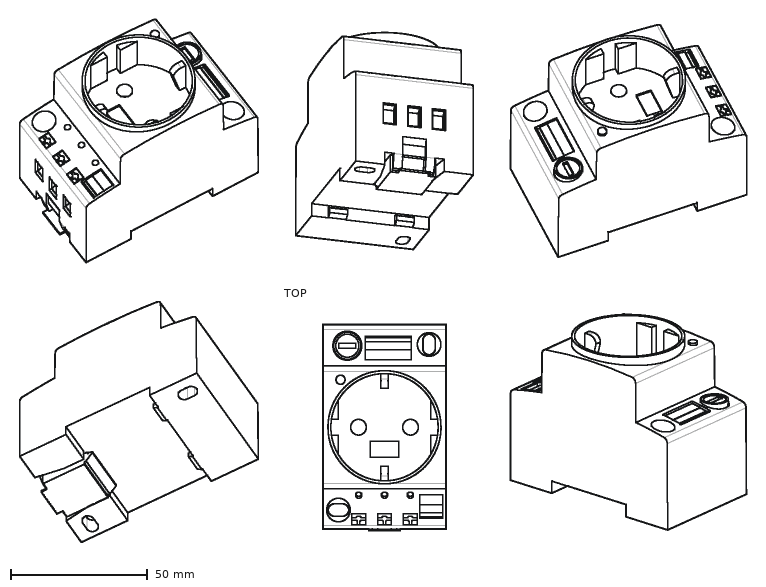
import cadquery as cq
import math

WIDTH = 45.0
HALF_WIDTH = WIDTH / 2
FRONT_Y = -37.3
REAR_Y = 37.6
DRAFT = 0.2
BODY_BOTTOM_Z = 1.9
TOWER_HALF = 22.5
TOP_CROWN_RADIUS = 181.15
SHOULDER_CROWN_RADIUS = 166.05
TOP_CROWN_Z = 59.0
SHOULDER_CROWN_Z = 42.0
EDGE_FILLET = 2.0

RAIL_HALF = 17.7
RAIL_TOP_Z = 6.7
REAR_HOOK_INNER_X = 9.35
REAR_HOOK_WIDTH = 6.8
REAR_HOOK_TIP_Y = 15.55
REAR_HOOK_TIP_LOW_Z = 3.2
REAR_HOOK_TIP_HIGH_Z = 5.1
REAR_HOOK_TOP_Z = 5.7
REAR_HOOK_BOTTOM_REACH = 0.3
REAR_HOOK_TOP_REACH = 0.6

NOTCH_HALF_WIDTH = 9.6
NOTCH_MOUTH_HALF_WIDTH = 11.3
NOTCH_TAPER_LENGTH = 11.3
LATCH_HALF_WIDTH = 8.7
LATCH_WALL = 0.8
LATCH_FRONT_Y = -35.5
LATCH_REAR_Y = -18.0
LATCH_PLATE = 0.75
LATCH_GAP_TOP_Z = 1.35
LATCH_HOOK_TIP_Y = -14.6
LATCH_HOOK_TIP_LOW_Z = 4.9
LATCH_HOOK_TIP_HIGH_Z = 5.6
LATCH_HOOK_HEEL_Y = -17.2
LATCH_HOOK_HEEL_Z = 1.6
LATCH_HOOK_NECK_Y = -16.7
LATCH_HOOK_NECK_Z = 6.05
CORE_TIP_Y = -36.0
TAB_HALF_WIDTH = 5.7
TAB_FRONT_Y = -37.9
FINGER_HALF_WIDTH = 4.45
FINGER_DEPTH = 0.9
FINGER_TOP_Z = 13.7
FINGER_BEVEL_Z = 11.1
FINGER_STEP_Z = 6.9
FINGER_FOOT_DEPTH = 2.65

RING_TOP_Z = 61.7
RING_RADIUS = 20.7
CUP_RADIUS = 19.6
CUP_FLOOR_Z = 44.2
GUIDE_X = 16.8
GUIDE_GAP_HALF = 2.9
GUIDE_TOP_Z = 58.95
CLIP_HALF_WIDTH = 1.3
CLIP_TOP_Z = 58.0
CLIP_NOSE_Y = 14.3
CLIP_NOSE_Z = 55.1
CLIP_SHOULDER_Y = 17.75
CLIP_FOOT_Y = 17.0
PIN_SPACING = 19.0
PIN_RADIUS = 2.9
PIN_DEPTH = 7.55
PLATE_LENGTH = 10.5
PLATE_WIDTH = 5.9
PLATE_Y = -8.0
PLATE_DEPTH = 0.75

TERMINAL_PITCH = 9.4
TERMINAL_XS = [-TERMINAL_PITCH, 0, TERMINAL_PITCH]
WIRE_WIDTH = 5.0
WIRE_BOTTOM_Z = 18.2
WIRE_TOP_Z = 26.2
WIRE_DEPTH = 2.9
WIRE_MOUTH_DEPTH = 1.05
WIRE_INSET = 0.2
WIRE_TAPER = 1.2
SCREW_Y = -24.8
SCREW_RADIUS = 1.1
SCREW_DEPTH = 4.5
MARK_WIDTH = 5.0
MARK_REAR_Y = -31.55
MARK_FRONT_Y = -35.6
MARK_DEPTH = 0.3
MARK_BAND_Y = -33.6
MARK_BAND = 0.8
MARK_HEAD_RADIUS = 1.1
MARK_STEM = 0.9
MARK_CORNER_RADIUS = 0.6

WINDOW_INNER = 24.6
WINDOW_SEAM = 28.4
WINDOW_STEP = 31.3
WINDOW_LEDGE = 32.7
WINDOW_OUTER = 33.2
WINDOW_DEPTH = 0.9
WINDOW_SEAM_STEP = 0.15
WINDOW_DEEP = 1.65
LEDGE_DEPTH = 0.3
FRONT_WINDOW_X = (12.8, 21.35)
REAR_WINDOW_X = (-7.1, 9.7)
FUSE_X = -13.6
FUSE_Y = 29.8
FUSE_RADIUS = 5.0
FUSE_GROOVE_RADIUS = 5.3
FUSE_DISH_RADIUS = 4.2
FUSE_DISH_DEPTH = 0.4
FUSE_TOP_Z = 40.3
FUSE_FOOT_Z = 37.4
FUSE_SLOT_LENGTH = 6.3
FUSE_SLOT_WIDTH = 1.9
FUSE_SLOT_DEPTH = 1.1
MOUNT_Y = 30.3
REAR_MOUNT_X = 16.3
FRONT_MOUNT_X = -16.8
MOUNT_BORE_RADIUS = 4.3
MOUNT_BORE_FLOOR_Z = 9.05
MOUNT_SLOT_LENGTH = 7.5
MOUNT_SLOT_WIDTH = 4.45
INDICATOR_X = -16.1
INDICATOR_Y = 17.35
INDICATOR_RADIUS = 1.65
INDICATOR_TOP_Z = 58.95


def arc_drop(radius, y):
    """How far an arc crowned on the centre line has fallen at distance y from it."""
    return radius - math.sqrt(radius ** 2 - y ** 2)


def top_z(y):
    return TOP_CROWN_Z - arc_drop(TOP_CROWN_RADIUS, y)


def shoulder_z(y):
    return SHOULDER_CROWN_Z - arc_drop(SHOULDER_CROWN_RADIUS, y)


def box(x0, x1, y0, y1, z0, z1):
    return cq.Workplane("XY").box(x1 - x0, y1 - y0, z1 - z0, centered=False).translate((x0, y0, z0))


def cylinder(x, y, radius, z0, z1):
    return cq.Workplane("XY", origin=(x, y, z0)).circle(radius).extrude(z1 - z0)


def slot(x, y, length, width, z0, z1, angle):
    return cq.Workplane("XY", origin=(x, y, z0)).slot2D(length, width, angle).extrude(z1 - z0)


def side_prism(points, x0, x1):
    """Prism along X from (y, z) points."""
    return cq.Workplane("YZ", origin=(x0, 0, 0)).polyline(points).close().extrude(x1 - x0)


def housing():
    tower_top = TOWER_HALF - DRAFT
    rear_top = REAR_Y - DRAFT

    def shoulder_point(y):
        return (y, shoulder_z(y))

    def top_point(y):
        return (y, top_z(y))

    front_mid = (FRONT_Y - TOWER_HALF) / 2
    rear_mid = (rear_top + TOWER_HALF) / 2
    profile = (
        cq.Workplane("YZ", origin=(-HALF_WIDTH, 0, 0))
        .moveTo(FRONT_Y, BODY_BOTTOM_Z)
        .lineTo(*shoulder_point(FRONT_Y))
        .threePointArc(shoulder_point(front_mid), shoulder_point(-TOWER_HALF))
        .lineTo(*top_point(-tower_top))
        .threePointArc(top_point(0), top_point(tower_top))
        .lineTo(*shoulder_point(TOWER_HALF))
        .threePointArc(shoulder_point(rear_mid), shoulder_point(rear_top))
        .lineTo(REAR_Y, BODY_BOTTOM_Z)
        .lineTo(RAIL_HALF, BODY_BOTTOM_Z)
        .lineTo(RAIL_HALF, RAIL_TOP_Z)
        .lineTo(-RAIL_HALF, RAIL_TOP_Z)
        .lineTo(-RAIL_HALF, BODY_BOTTOM_Z)
        .close()
    )
    body = profile.extrude(WIDTH)
    for y, z in (
        shoulder_point(FRONT_Y),
        top_point(-tower_top),
        top_point(tower_top),
        shoulder_point(rear_top),
    ):
        body = body.edges(cq.selectors.NearestToPointSelector((0, y, z))).fillet(EDGE_FILLET)
    return body


def rear_hooks():
    points = [
        (RAIL_HALF, BODY_BOTTOM_Z),
        (RAIL_HALF - REAR_HOOK_BOTTOM_REACH, BODY_BOTTOM_Z),
        (REAR_HOOK_TIP_Y, REAR_HOOK_TIP_LOW_Z),
        (REAR_HOOK_TIP_Y, REAR_HOOK_TIP_HIGH_Z),
        (RAIL_HALF - REAR_HOOK_TOP_REACH, REAR_HOOK_TOP_Z),
        (RAIL_HALF, REAR_HOOK_TOP_Z),
    ]
    hook = side_prism(points, REAR_HOOK_INNER_X, REAR_HOOK_INNER_X + REAR_HOOK_WIDTH)
    return hook.union(hook.mirror("YZ"))


def latch_notch():
    """Channel through the front foot, widening towards its mouth."""
    taper_end_y = FRONT_Y + NOTCH_TAPER_LENGTH
    right_side = [
        (NOTCH_MOUTH_HALF_WIDTH, FRONT_Y),
        (NOTCH_HALF_WIDTH, taper_end_y),
        (NOTCH_HALF_WIDTH, -RAIL_HALF),
    ]
    left_side = [(-x, y) for x, y in reversed(right_side)]
    return cq.Workplane("XY").polyline(right_side + left_side).close().extrude(RAIL_TOP_Z)


def latch():
    inner = LATCH_HALF_WIDTH - LATCH_WALL
    frame = box(-LATCH_HALF_WIDTH, LATCH_HALF_WIDTH, LATCH_FRONT_Y, LATCH_REAR_Y, 0, RAIL_TOP_Z)
    core = side_prism(
        [
            (FRONT_Y, RAIL_TOP_Z),
            (CORE_TIP_Y, LATCH_GAP_TOP_Z),
            (LATCH_FRONT_Y, LATCH_GAP_TOP_Z),
            (LATCH_FRONT_Y, RAIL_TOP_Z),
        ],
        -inner,
        inner,
    )
    hook = side_prism(
        [
            (LATCH_REAR_Y, LATCH_GAP_TOP_Z),
            (LATCH_HOOK_HEEL_Y, LATCH_HOOK_HEEL_Z),
            (LATCH_HOOK_TIP_Y, LATCH_HOOK_TIP_LOW_Z),
            (LATCH_HOOK_TIP_Y, LATCH_HOOK_TIP_HIGH_Z),
            (LATCH_HOOK_NECK_Y, LATCH_HOOK_NECK_Z),
            (LATCH_HOOK_NECK_Y, RAIL_TOP_Z),
            (LATCH_REAR_Y, RAIL_TOP_Z),
        ],
        -LATCH_HALF_WIDTH,
        LATCH_HALF_WIDTH,
    )
    gap = box(-inner, inner, LATCH_FRONT_Y, LATCH_REAR_Y, LATCH_PLATE, LATCH_GAP_TOP_Z)
    tab = box(-TAB_HALF_WIDTH, TAB_HALF_WIDTH, TAB_FRONT_Y, LATCH_FRONT_Y, 0, LATCH_PLATE)
    return frame.union(core).union(hook).cut(gap).union(tab)


def finger_recess():
    """Finger hold; its deeper foot runs parallel to the slanted front of the core."""
    points = [
        (FRONT_Y, FINGER_TOP_Z),
        (FRONT_Y + FINGER_DEPTH, FINGER_BEVEL_Z),
        (FRONT_Y + FINGER_DEPTH, FINGER_STEP_Z),
        (FRONT_Y + FINGER_FOOT_DEPTH, FINGER_STEP_Z),
        (CORE_TIP_Y + FINGER_FOOT_DEPTH, LATCH_GAP_TOP_Z),
        (FRONT_Y, LATCH_GAP_TOP_Z),
    ]
    return side_prism(points, -FINGER_HALF_WIDTH, FINGER_HALF_WIDTH)


def socket_guides():
    """Two ribs on each side of the cup, flat towards the middle and split by a gap."""
    guides = cylinder(0, 0, CUP_RADIUS, CUP_FLOOR_Z, GUIDE_TOP_Z)
    guides = guides.cut(box(-GUIDE_X, GUIDE_X, -CUP_RADIUS, CUP_RADIUS, CUP_FLOOR_Z, GUIDE_TOP_Z))
    return guides.cut(
        box(-CUP_RADIUS, CUP_RADIUS, -GUIDE_GAP_HALF, GUIDE_GAP_HALF, CUP_FLOOR_Z, GUIDE_TOP_Z)
    )


def earth_clip():
    wall_y = (CUP_RADIUS + RING_RADIUS) / 2
    nose_radius_y = CLIP_SHOULDER_Y - CLIP_NOSE_Y
    nose_radius_z = CLIP_TOP_Z - CLIP_NOSE_Z
    arc_mid = (
        CLIP_SHOULDER_Y - nose_radius_y * math.sin(math.pi / 4),
        CLIP_NOSE_Z + nose_radius_z * math.cos(math.pi / 4),
    )
    return (
        cq.Workplane("YZ", origin=(-CLIP_HALF_WIDTH, 0, 0))
        .moveTo(wall_y, CUP_FLOOR_Z)
        .lineTo(wall_y, CLIP_TOP_Z)
        .lineTo(CLIP_SHOULDER_Y, CLIP_TOP_Z)
        .threePointArc(arc_mid, (CLIP_NOSE_Y, CLIP_NOSE_Z))
        .lineTo(CLIP_FOOT_Y, CUP_FLOOR_Z)
        .close()
        .extrude(2 * CLIP_HALF_WIDTH)
    )


def add_socket(body):
    body = body.union(cylinder(0, 0, RING_RADIUS, CUP_FLOOR_Z, RING_TOP_Z))
    body = body.cut(cylinder(0, 0, CUP_RADIUS, CUP_FLOOR_Z, RING_TOP_Z))
    body = body.union(socket_guides())
    clip = earth_clip()
    body = body.union(clip).union(clip.mirror("XZ"))
    for x in (-PIN_SPACING / 2, PIN_SPACING / 2):
        body = body.cut(cylinder(x, 0, PIN_RADIUS, CUP_FLOOR_Z - PIN_DEPTH, CUP_FLOOR_Z))
    plate = cq.Workplane("XY", origin=(0, PLATE_Y, CUP_FLOOR_Z)).rect(PLATE_LENGTH, PLATE_WIDTH)
    return body.cut(plate.extrude(-PLATE_DEPTH))


def wire_opening(x):
    """Straight rectangular mouth, then a stepped-in funnel."""
    half = WIRE_WIDTH / 2
    step_y = FRONT_Y + WIRE_MOUTH_DEPTH
    inner_y = FRONT_Y + WIRE_DEPTH
    mouth = box(x - half, x + half, FRONT_Y, step_y, WIRE_BOTTOM_Z, WIRE_TOP_Z)
    floor_z = WIRE_BOTTOM_Z + WIRE_INSET
    ceiling_z = WIRE_TOP_Z - WIRE_INSET
    funnel = side_prism(
        [
            (step_y, floor_z),
            (inner_y, floor_z + WIRE_TAPER),
            (inner_y, ceiling_z - WIRE_TAPER),
            (step_y, ceiling_z),
        ],
        x - half + WIRE_INSET,
        x + half - WIRE_INSET,
    )
    return mouth.union(funnel)


def screw_hole(x):
    """Blind hole square to the shoulder surface."""
    tilt = math.asin(SCREW_Y / SHOULDER_CROWN_RADIUS)
    axis = cq.Vector(0, math.sin(tilt), math.cos(tilt))
    bottom = cq.Vector(x, SCREW_Y, shoulder_z(SCREW_Y)) - axis * SCREW_DEPTH
    return cq.Workplane(cq.Solid.makeCylinder(SCREW_RADIUS, 2 * SCREW_DEPTH, bottom, axis))


def space_above_floor(depth):
    """Space above a surface lying the given depth under the front shoulder."""
    y0 = MARK_FRONT_Y
    y1 = MARK_REAR_Y
    points = [
        (y0, shoulder_z(y0) - depth),
        (y1, shoulder_z(y1) - depth),
        (y1, SHOULDER_CROWN_Z),
        (y0, SHOULDER_CROWN_Z),
    ]
    return side_prism(points, -HALF_WIDTH, HALF_WIDTH)


def terminal_mark(x):
    """Shallow rectangular pocket with a deeper symbol (band, domed head, stem) in its floor."""
    low_z = shoulder_z(MARK_FRONT_Y) - 2 * MARK_DEPTH
    high_z = SHOULDER_CROWN_Z
    half = MARK_WIDTH / 2
    stem_half = MARK_STEM / 2
    pocket = box(x - half, x + half, MARK_FRONT_Y, MARK_REAR_Y, low_z, high_z)
    pocket = pocket.intersect(space_above_floor(MARK_DEPTH))
    band_rear_y = MARK_BAND_Y + MARK_BAND / 2
    band_front_y = MARK_BAND_Y - MARK_BAND / 2
    symbol = box(x - half, x + half, band_front_y, band_rear_y, low_z, high_z)
    symbol = symbol.union(
        box(x - stem_half, x + stem_half, MARK_FRONT_Y, band_front_y, low_z, high_z)
    )
    for corner_x in (x - stem_half, x + stem_half):
        corner = cq.selectors.NearestToPointSelector((corner_x, band_front_y, (low_z + high_z) / 2))
        symbol = symbol.edges("|Z").edges(corner).fillet(MARK_CORNER_RADIUS)
    head = cylinder(x, MARK_BAND_Y, MARK_HEAD_RADIUS, low_z, high_z)
    head = head.intersect(box(x - half, x + half, MARK_BAND_Y, MARK_REAR_Y, low_z, high_z))
    symbol = symbol.union(head).intersect(space_above_floor(2 * MARK_DEPTH))
    return pocket.union(symbol)


def window(x0, x1, side):
    """Recess in the front (side = -1) or rear (side = 1) shoulder with a stepped floor."""

    def floor_point(y, depth):
        return (y, shoulder_z(y) - depth)

    floor = [
        floor_point(WINDOW_INNER, WINDOW_DEPTH),
        floor_point(WINDOW_SEAM, WINDOW_DEPTH),
        floor_point(WINDOW_SEAM, WINDOW_DEPTH + WINDOW_SEAM_STEP),
        floor_point(WINDOW_STEP, WINDOW_DEPTH + WINDOW_SEAM_STEP),
        floor_point(WINDOW_STEP, WINDOW_DEEP),
        floor_point(WINDOW_LEDGE, WINDOW_DEEP),
        floor_point(WINDOW_LEDGE, LEDGE_DEPTH),
        floor_point(WINDOW_OUTER, LEDGE_DEPTH),
    ]
    roof = [(WINDOW_OUTER, SHOULDER_CROWN_Z), (WINDOW_INNER, SHOULDER_CROWN_Z)]
    return side_prism([(side * y, z) for y, z in floor + roof], x0, x1)


def add_fuse(body):
    body = body.cut(cylinder(FUSE_X, FUSE_Y, FUSE_GROOVE_RADIUS, FUSE_FOOT_Z, FUSE_TOP_Z))
    dish_z = FUSE_TOP_Z - FUSE_DISH_DEPTH
    knob = cylinder(FUSE_X, FUSE_Y, FUSE_RADIUS, FUSE_FOOT_Z, FUSE_TOP_Z)
    knob = knob.cut(cylinder(FUSE_X, FUSE_Y, FUSE_DISH_RADIUS, dish_z, FUSE_TOP_Z))
    driver_slot = cq.Workplane("XY", origin=(FUSE_X, FUSE_Y, dish_z))
    driver_slot = driver_slot.rect(FUSE_SLOT_LENGTH, FUSE_SLOT_WIDTH).extrude(-FUSE_SLOT_DEPTH)
    return body.union(knob.cut(driver_slot))


def mount_hole(x, y, angle):
    bore = cylinder(x, y, MOUNT_BORE_RADIUS, MOUNT_BORE_FLOOR_Z, SHOULDER_CROWN_Z)
    return bore.union(slot(x, y, MOUNT_SLOT_LENGTH, MOUNT_SLOT_WIDTH, 0, MOUNT_BORE_FLOOR_Z, angle))


result = housing().union(rear_hooks())
result = result.cut(latch_notch()).union(latch()).cut(finger_recess())
result = add_socket(result)
for terminal_x in TERMINAL_XS:
    result = result.cut(wire_opening(terminal_x))
    result = result.cut(screw_hole(terminal_x))
    result = result.cut(terminal_mark(terminal_x))
result = result.cut(window(*FRONT_WINDOW_X, -1))
result = result.cut(window(*REAR_WINDOW_X, 1))
result = add_fuse(result)
result = result.cut(mount_hole(REAR_MOUNT_X, MOUNT_Y, 90))
result = result.cut(mount_hole(FRONT_MOUNT_X, -MOUNT_Y, 0))
indicator_foot_z = top_z(INDICATOR_Y) - INDICATOR_RADIUS
result = result.union(
    cylinder(INDICATOR_X, INDICATOR_Y, INDICATOR_RADIUS, indicator_foot_z, INDICATOR_TOP_Z)
)